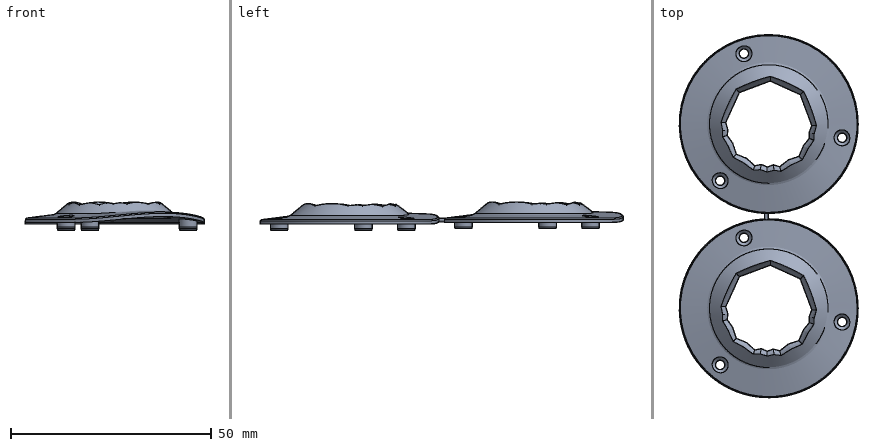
import cadquery as cq
import math

RING_DIAMETER = 44.72
RING_RADIUS = RING_DIAMETER / 2
RING_PITCH = 46.0
RING_STEP = 0.4

FLANGE_BOTTOM = 1.55
FLANGE_THICKNESS = 1.1
RIM_TOP = FLANGE_BOTTOM + FLANGE_THICKNESS
SWELL_ANGLE = -57.0
SWELL_HALF_WIDTH = 62.0
RIM_SWELL = 1.5
RIM_CHAMFER_WIDTH = 0.3
RIM_CHAMFER_HEIGHT = 0.3

DOME_RADIUS = 15.3
DOME_FOOT_HEIGHT = 3.55
DOME_SWELL = 0.8
FOOT_WIDTH = 0.5
FOOT_RISE = 0.2
CROWN_RADIUS = 9.8
CROWN_HEIGHT = 7.92
WALL_OFFSET = 1.3
CEILING_RADIUS = 11.6
CEILING_HEIGHT = 4.4

OPENING_AXIS = 88.0
OCTAGON_STEP = 45.0
OCTAGON_RADIUS = 10.65
NOTCH_CORNERS = [
    (80.0, 10.2),
    (72.5, 10.65),
    (60.0, 10.1),
    (45.0, 10.95),
    (31.0, 10.1),
    (16.5, 10.9),
    (8.5, 10.15),
]
LIP_DRAFT = 0.95
LIP_OVERCUT = 0.1
LIP_BOTTOM = CEILING_HEIGHT - LIP_OVERCUT
LIP_CHAMFER_START = 5.5
LIP_CHAMFER_SLOPE = 2.0

POST_COUNT = 3
POST_CIRCLE_RADIUS = 18.65
POST_START_ANGLE = 109.4
POST_DIAMETER = 4.46
POST_CHAMFER_HEIGHT = 0.4
POST_CHAMFER_WIDTH = 0.15
SCREW_DIAMETER = 2.25
SINK_DIAMETER = 4.0
SINK_DEPTH = 1.0
SINK_EDGE = 0.15

SPRUE_DIAMETER = 1.0
SPRUE_X = -0.6
SPRUE_Z = 2.55
SPRUE_OVERLAP = 0.5

LOOP_POINTS = 36
CUT_MARGIN = 2.0


def polar(radius, angle):
    radians = math.radians(angle)
    return radius * math.cos(radians), radius * math.sin(radians)


def swell(angle):
    """Share of the full swell at an angle: a smooth hump, zero outside its width."""
    offset = (angle - SWELL_ANGLE + 180) % 360 - 180
    if abs(offset) >= SWELL_HALF_WIDTH:
        return 0.0
    return math.cos(math.radians(90 * offset / SWELL_HALF_WIDTH)) ** 2


def flange_top(radius, angle):
    """Height of the flange's top face, straight from the dome's foot to the rim."""
    share = (radius - DOME_RADIUS) / (RING_RADIUS - DOME_RADIUS)
    foot = DOME_FOOT_HEIGHT + DOME_SWELL * swell(angle)
    rim = RIM_TOP + RIM_SWELL * swell(angle)
    return foot + share * (rim - foot)


def level_loop(radius, height):
    return cq.Wire.makeCircle(radius, cq.Vector(0, 0, height), cq.Vector(0, 0, 1))


def flange_loop(radius, lift):
    """Closed curve that follows the flange's top face, raised by lift."""
    points = []
    for i in range(LOOP_POINTS):
        angle = 360 * i / LOOP_POINTS
        x, y = polar(radius, angle)
        points.append(cq.Vector(x, y, flange_top(radius, angle) + lift))
    return cq.Wire.assembleEdges([cq.Edge.makeSpline(points, periodic=True)])


def ruled_solid(loops):
    return cq.Workplane(cq.Solid.makeLoft(loops, True))


def outer_body():
    foot_radius = DOME_RADIUS - FOOT_WIDTH
    flat_side = SWELL_ANGLE + 180
    foot_lift = DOME_FOOT_HEIGHT + FOOT_RISE - flange_top(foot_radius, flat_side)
    return ruled_solid([
        level_loop(RING_RADIUS, -CUT_MARGIN),
        flange_loop(RING_RADIUS, -RIM_CHAMFER_HEIGHT),
        flange_loop(RING_RADIUS - RIM_CHAMFER_WIDTH, 0),
        flange_loop(DOME_RADIUS, 0),
        flange_loop(foot_radius, foot_lift),
        level_loop(CROWN_RADIUS, CROWN_HEIGHT),
    ])


def inner_body():
    wide = RING_RADIUS + CUT_MARGIN
    return ruled_solid([
        level_loop(wide, -2 * CUT_MARGIN),
        flange_loop(wide, -FLANGE_THICKNESS),
        flange_loop(DOME_RADIUS - WALL_OFFSET, -FLANGE_THICKNESS),
        level_loop(CEILING_RADIUS, CEILING_HEIGHT),
    ])


def opening_corners():
    """Opening corners as (angle, radius), counter-clockwise from the right end of the plain side."""
    octagon = [(OPENING_AXIS + OCTAGON_STEP * i, OCTAGON_RADIUS) for i in range(-2, 3)]
    ragged_axis = OPENING_AXIS + 180
    first_half = [(ragged_axis - angle, radius) for angle, radius in NOTCH_CORNERS]
    second_half = [(ragged_axis + angle, radius) for angle, radius in reversed(NOTCH_CORNERS)]
    return octagon + first_half + [(ragged_axis, OCTAGON_RADIUS)] + second_half


def opening_loop(growth, height):
    points = []
    for angle, radius in opening_corners():
        x, y = polar(radius + growth, angle)
        points.append(cq.Vector(x, y, height))
    return cq.Wire.makePolygon(points, close=True)


def opening():
    rise = CROWN_HEIGHT - LIP_CHAMFER_START
    chamfer_width = rise / LIP_CHAMFER_SLOPE
    wall = ruled_solid([
        opening_loop(0, LIP_BOTTOM),
        opening_loop(LIP_DRAFT, LIP_CHAMFER_START),
    ])
    chamfer = ruled_solid([
        opening_loop(LIP_DRAFT, LIP_CHAMFER_START),
        opening_loop(LIP_DRAFT + chamfer_width, CROWN_HEIGHT),
    ])
    return wall.union(chamfer)


def post(angle):
    top = flange_top(POST_CIRCLE_RADIUS, angle) - FLANGE_THICKNESS / 2
    body = cq.Workplane().circle(POST_DIAMETER / 2).extrude(top)
    body = body.faces("<Z").edges().chamfer(POST_CHAMFER_HEIGHT, POST_CHAMFER_WIDTH)
    return body.translate((*polar(POST_CIRCLE_RADIUS, angle), 0))


def screw_hole(angle):
    """Through hole with a countersink whose mouth is flush with the flange at the post's axis."""
    mouth = flange_top(POST_CIRCLE_RADIUS, angle)
    top = mouth + CUT_MARGIN
    profile = [
        (0, -CUT_MARGIN),
        (SCREW_DIAMETER / 2, -CUT_MARGIN),
        (SCREW_DIAMETER / 2, mouth - SINK_DEPTH),
        (SINK_DIAMETER / 2, mouth - SINK_EDGE),
        (SINK_DIAMETER / 2, top),
        (0, top),
    ]
    cutter = cq.Workplane("XZ").polyline(profile).close().revolve(360, (0, 0), (0, 1))
    return cutter.translate((*polar(POST_CIRCLE_RADIUS, angle), 0))


def ring():
    body = outer_body().cut(inner_body()).cut(opening())
    angles = [POST_START_ANGLE + 360 * i / POST_COUNT for i in range(POST_COUNT)]
    for angle in angles:
        body = body.union(post(angle))
    for angle in angles:
        body = body.cut(screw_hole(angle))
    return body


def sprue():
    length = RING_PITCH - RING_DIAMETER + 2 * SPRUE_OVERLAP
    rod = cq.Workplane("XZ").circle(SPRUE_DIAMETER / 2).extrude(length / 2, both=True)
    return rod.translate((SPRUE_X, 0, SPRUE_Z))


trim_ring = ring()
rear_ring = trim_ring.translate((0, RING_PITCH / 2, 0))
front_ring = trim_ring.translate((0, -RING_PITCH / 2, RING_STEP))
result = rear_ring.union(sprue()).union(front_ring)